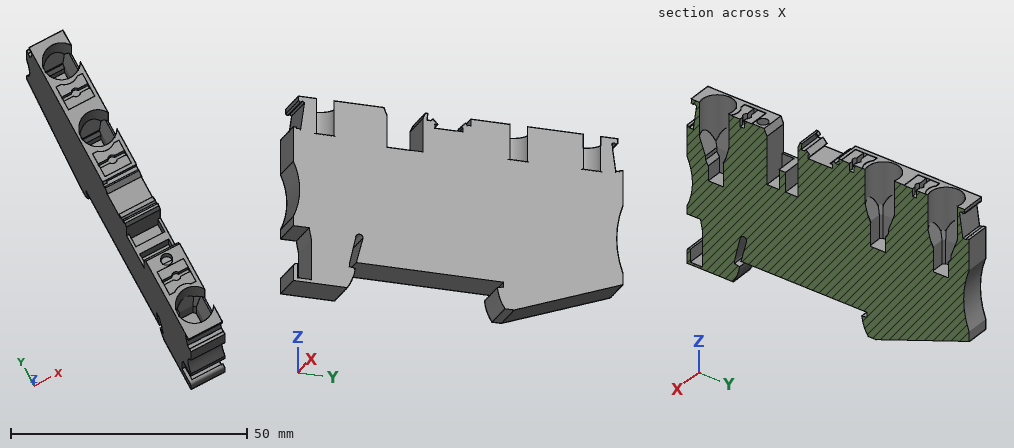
import cadquery as cq
import math


WIDTH = 8.15
LENGTH = 74.12
HEIGHT = 42.2
HALF_WIDTH = WIDTH / 2
HALF_LENGTH = LENGTH / 2

LIP_Y = 35.9
LIP_Z = 41.15
LIP_BEAD_DROP = 0.3
LIP_BEAD_WIDTH = 0.9
NECK_TOP_Y = 34.55
NECK_TOP_Z = 40.85
NECK_FOOT_Y = 35.45
NECK_FOOT_Z = 34.5
SHOULDER_Z = 35.05
SHOULDER_GROOVE_Z = 34.75
SHOULDER_EDGE_WIDTH = 0.7
HOLLOW_TOP_Z = 27.15
HOLLOW_DEPTH = 1.42
REAR_HOLLOW_FOOT_Z = 11.6
FRONT_HOLLOW_FOOT_Z = 14.6

RAIL_SEAT_Z = 6.0
REAR_EDGE_Z = 9.1
REAR_FOOT_Y = 12.6
REAR_FOOT_INNER_Y = 10.5
REAR_SEAT_Y = 10.2
REAR_CLAW_Y = 8.8
CLAW_Z = 4.6
CLAW_UNDERCUT_Z = 4.9
CLAW_BULGE_Z = 2.2
REAR_CLAW_BULGE_Y = 9.35
FRONT_CLAW_Y = -23.15
FRONT_CLAW_BULGE_Y = -23.75
FRONT_FOOT_INNER_Y = -24.9
SPRING_SLOT_FOOT_Y = -22.9
SPRING_SLOT_SIDE_Y = -21.4
SPRING_SLOT_TOP_Z = 12.55
SPRING_SLOT_ROUND_Z = 11.8
SPRING_SLOT_WIDTH = 1.6
SPRING_SLOT_BACK_Y = -24.5
SPRING_SLOT_BACK_Z = 5.4
GRIP_Y = -33.0
GRIP_TOP_Y = -33.5
GRIP_TOP_Z = 12.5
GRIP_TAPER_Z = 9.8
GRIP_FLOOR_Z = 4.0
GRIP_EDGE_RADIUS = 0.8
GRIP_WALL = 0.75
GRIP_LIP = 1.0

BRIDGE_FRONT_Y = -15.98
BRIDGE_REAR_Y = -7.94
BRIDGE_FLOOR_Z = 33.25
BRIDGE_CHAMFER_Y = 0.72
BRIDGE_CHAMFER_Z = 1.75
HOOK_FLANK_Z = 40.85
HOOK_TOP_FRONT_Y = -7.35
HOOK_TOP_REAR_Y = -6.8
NOTCH_Z = 40.65
REAR_NOTCH_Y = 2.83
REAR_RIDGE_FOOT_Y = 2.0
REAR_RIDGE_Y = 1.6
FRONT_NOTCH_Y = -7.0
FRONT_RIDGE_FOOT_Y = -6.15
FRONT_RIDGE_Y = -5.7
RIDGE_Z = 41.1
CHANNEL_LEDGE_Z = 39.95
CHANNEL_FLOOR_Z = 39.05
CHANNEL_REAR_Y = 1.1
CHANNEL_REAR_TIP_Y = 0.45
CHANNEL_FRONT_Y = -5.25
CHANNEL_FRONT_TIP_Y = -4.55

TIP_WIDTH = 0.9
TIP_POINT_Z = 41.6
TIP_ROOT_Z = 41.35
REAR_TIP_Y = 2.3
FRONT_TIP_Y = -6.3

FUNNELS = [(30.05, 1), (13.6, 1), (-29.9, -1)]
FUNNEL_X = 0.55
FUNNEL_RADIUS = 4.02
BORE_DEPTH = 8.0
TAPER_DEPTH = 5.0
WIRE_DEPTH = 6.0
TAPER_WALL_X = 3.7
WIRE_HALF_WIDTH = 2.12
WIRE_OUTER = 2.2
WIRE_INNER = 2.65
WIRE_CORNER = 0.55
MOUTH_CORNER = 1.1
WIRE_STEP = 0.75
WIRE_STEP_TOP = 1.0
WIRE_STEP_FOOT = 2.2

WINDOW_X = 0.1
WINDOW_WIDTH = 6.3
WINDOW_NEAR = 4.4
WINDOW_FAR = 10.0
WINDOW_DEPTH = 0.1
LAND_HALF_WIDTH = 1.95
LAND_RISE = 0.7
BLADE_OFFSET = 7.38
BLADE_WIDTH = 1.0
BLADE_DEPTH = 2.0
BLADE_ROUND_DIAMETER = 1.9

TEST_Y = -18.4
TEST_DIAMETER = 2.55
TEST_DEPTH = 3.0
TEST_RAMP_RISE = 0.7
POCKET_WIDTH = 6.92
POCKET_LENGTH = 3.14
POCKET_DEPTH = 5.0


def end_points(side):
    """Lip, neck and shoulder of one end, from the top down; side is +1 or -1 in Y."""
    points = [
        (LIP_Y, HEIGHT),
        (LIP_Y, LIP_Z),
        (LIP_Y - LIP_BEAD_WIDTH / 2, LIP_Z - LIP_BEAD_DROP),
        (LIP_Y - LIP_BEAD_WIDTH, LIP_Z),
        (NECK_TOP_Y, NECK_TOP_Z),
        (NECK_FOOT_Y, NECK_FOOT_Z),
        (NECK_FOOT_Y, SHOULDER_GROOVE_Z),
        (HALF_LENGTH - SHOULDER_EDGE_WIDTH, SHOULDER_GROOVE_Z),
        (HALF_LENGTH - SHOULDER_EDGE_WIDTH, SHOULDER_Z),
        (HALF_LENGTH, SHOULDER_Z),
        (HALF_LENGTH, HOLLOW_TOP_Z),
    ]
    return [(side * y, z) for y, z in points]


def top_points():
    """Bridge slot and marker channel, from the -Y end to the +Y end."""
    return [
        (BRIDGE_FRONT_Y - BRIDGE_CHAMFER_Y, HEIGHT),
        (BRIDGE_FRONT_Y, HEIGHT - BRIDGE_CHAMFER_Z),
        (BRIDGE_FRONT_Y, BRIDGE_FLOOR_Z),
        (BRIDGE_REAR_Y, BRIDGE_FLOOR_Z),
        (BRIDGE_REAR_Y, HOOK_FLANK_Z),
        (HOOK_TOP_FRONT_Y, HEIGHT),
        (HOOK_TOP_REAR_Y, HEIGHT),
        (FRONT_NOTCH_Y, NOTCH_Z),
        (FRONT_RIDGE_FOOT_Y, NOTCH_Z),
        (FRONT_RIDGE_Y, RIDGE_Z),
        (CHANNEL_FRONT_TIP_Y, CHANNEL_LEDGE_Z),
        (CHANNEL_FRONT_Y, CHANNEL_LEDGE_Z),
        (CHANNEL_FRONT_Y, CHANNEL_FLOOR_Z),
        (CHANNEL_REAR_Y, CHANNEL_FLOOR_Z),
        (CHANNEL_REAR_Y, CHANNEL_LEDGE_Z),
        (CHANNEL_REAR_TIP_Y, CHANNEL_LEDGE_Z),
        (REAR_RIDGE_Y, RIDGE_Z),
        (REAR_RIDGE_FOOT_Y, NOTCH_Z),
        (REAR_NOTCH_Y, NOTCH_Z),
        (REAR_NOTCH_Y, HEIGHT),
    ]


def make_body():
    outline = cq.Workplane("YZ", origin=(-HALF_WIDTH, 0, 0)).polyline(end_points(1))

    hollow_mid_z = (HOLLOW_TOP_Z + REAR_HOLLOW_FOOT_Z) / 2
    outline = (
        outline
        .threePointArc((HALF_LENGTH - HOLLOW_DEPTH, hollow_mid_z), (HALF_LENGTH, REAR_HOLLOW_FOOT_Z))
        .lineTo(HALF_LENGTH, REAR_EDGE_Z)
        .lineTo(REAR_FOOT_Y, 0)
        .lineTo(REAR_FOOT_INNER_Y, 0)
        .threePointArc((REAR_CLAW_BULGE_Y, CLAW_BULGE_Z), (REAR_CLAW_Y, CLAW_Z))
        .lineTo(REAR_SEAT_Y, CLAW_UNDERCUT_Z)
        .lineTo(REAR_SEAT_Y, RAIL_SEAT_Z)
        .lineTo(SPRING_SLOT_FOOT_Y, RAIL_SEAT_Z)
    )

    slot_mid_y = SPRING_SLOT_SIDE_Y - SPRING_SLOT_WIDTH / 2
    outline = (
        outline
        .lineTo(SPRING_SLOT_SIDE_Y, SPRING_SLOT_ROUND_Z)
        .threePointArc(
            (slot_mid_y, SPRING_SLOT_TOP_Z),
            (SPRING_SLOT_SIDE_Y - SPRING_SLOT_WIDTH, SPRING_SLOT_ROUND_Z),
        )
        .lineTo(SPRING_SLOT_BACK_Y, SPRING_SLOT_BACK_Z)
        .lineTo(SPRING_SLOT_BACK_Y, CLAW_UNDERCUT_Z)
        .lineTo(FRONT_CLAW_Y, CLAW_Z)
        .threePointArc((FRONT_CLAW_BULGE_Y, CLAW_BULGE_Z), (FRONT_FOOT_INNER_Y, 0))
    )

    round_mid = GRIP_EDGE_RADIUS * (1 - math.sqrt(0.5))
    hollow_mid_z = (HOLLOW_TOP_Z + FRONT_HOLLOW_FOOT_Z) / 2
    outline = (
        outline
        .lineTo(-HALF_LENGTH, 0)
        .lineTo(-HALF_LENGTH, GRIP_FLOOR_Z - GRIP_EDGE_RADIUS)
        .threePointArc(
            (-HALF_LENGTH + round_mid, GRIP_FLOOR_Z - round_mid),
            (-HALF_LENGTH + GRIP_EDGE_RADIUS, GRIP_FLOOR_Z),
        )
        .lineTo(GRIP_Y, GRIP_FLOOR_Z)
        .lineTo(GRIP_Y, GRIP_TAPER_Z)
        .lineTo(GRIP_TOP_Y, GRIP_TOP_Z)
        .lineTo(-HALF_LENGTH, GRIP_TOP_Z)
        .lineTo(-HALF_LENGTH, FRONT_HOLLOW_FOOT_Z)
        .threePointArc((-HALF_LENGTH + HOLLOW_DEPTH, hollow_mid_z), (-HALF_LENGTH, HOLLOW_TOP_Z))
    )

    for y, z in end_points(-1)[-2::-1] + top_points():
        outline = outline.lineTo(y, z)
    return outline.close().extrude(WIDTH)


def make_hook_tips():
    """Small latching tips that overhang the two notches beside the -X face."""
    plane = cq.Workplane("YZ", origin=(-HALF_WIDTH, 0, 0))
    rear_tip = plane.polyline([
        (REAR_NOTCH_Y, HEIGHT),
        (REAR_TIP_Y, TIP_POINT_Z),
        (REAR_NOTCH_Y, TIP_ROOT_Z),
    ]).close().extrude(TIP_WIDTH)
    front_tip = plane.polyline([
        (HOOK_TOP_REAR_Y, HEIGHT),
        (FRONT_TIP_Y, TIP_POINT_Z),
        (FRONT_NOTCH_Y, TIP_ROOT_Z),
        (FRONT_NOTCH_Y, HEIGHT),
    ]).close().extrude(TIP_WIDTH)
    return rear_tip, front_tip


def rectangle_with_inner_chamfers(plane, x_min, x_max, outer_y, inner_y, chamfer, direction):
    """Closed outline whose two corners towards the middle of the part are chamfered."""
    inner_chamfer_y = inner_y + direction * chamfer
    return plane.polyline([
        (x_min, outer_y),
        (x_max, outer_y),
        (x_max, inner_chamfer_y),
        (x_max - chamfer, inner_y),
        (x_min + chamfer, inner_y),
        (x_min, inner_chamfer_y),
    ]).close()


def make_funnel(center_y, direction):
    """Round bore, tapered throat and square wire hole."""
    bore_floor_z = HEIGHT - BORE_DEPTH
    throat_z = bore_floor_z - TAPER_DEPTH
    funnel_axis = cq.Workplane("XY", origin=(FUNNEL_X, center_y, HEIGHT))
    bore = funnel_axis.circle(FUNNEL_RADIUS).extrude(-BORE_DEPTH)
    taper_limit = funnel_axis.circle(FUNNEL_RADIUS).extrude(-BORE_DEPTH - TAPER_DEPTH)

    wire_outer_y = center_y + direction * WIRE_OUTER
    wire_inner_y = center_y - direction * WIRE_INNER
    mouth = rectangle_with_inner_chamfers(
        cq.Workplane("XY", origin=(0, 0, bore_floor_z)),
        FUNNEL_X - FUNNEL_RADIUS, TAPER_WALL_X,
        center_y + direction * FUNNEL_RADIUS, center_y - direction * FUNNEL_RADIUS,
        MOUTH_CORNER, direction,
    )
    taper = rectangle_with_inner_chamfers(
        mouth.workplane(offset=-TAPER_DEPTH),
        -WIRE_HALF_WIDTH, WIRE_HALF_WIDTH, wire_outer_y, wire_inner_y, WIRE_CORNER, direction,
    ).loft(ruled=True)

    wire_hole = rectangle_with_inner_chamfers(
        cq.Workplane("XY", origin=(0, 0, throat_z)),
        -WIRE_HALF_WIDTH, WIRE_HALF_WIDTH, wire_outer_y, wire_inner_y, WIRE_CORNER, direction,
    ).extrude(-WIRE_DEPTH)
    ledge = (
        cq.Workplane("YZ", origin=(-WIRE_HALF_WIDTH, 0, 0))
        .moveTo(wire_outer_y, throat_z - WIRE_STEP_TOP)
        .lineTo(wire_outer_y, throat_z - WIRE_DEPTH)
        .lineTo(wire_outer_y - direction * WIRE_STEP, throat_z - WIRE_DEPTH)
        .lineTo(wire_outer_y - direction * WIRE_STEP, throat_z - WIRE_STEP_FOOT)
        .close().extrude(2 * WIRE_HALF_WIDTH)
    )
    return bore.union(taper.intersect(taper_limit)).union(wire_hole.cut(ledge))


def make_release_window(funnel_y, direction):
    """Shallow window with a blade slot that widens to a round in the middle."""
    top = cq.Workplane("XY", origin=(0, 0, HEIGHT))
    window_y = funnel_y - direction * (WINDOW_NEAR + WINDOW_FAR) / 2
    blade_y = funnel_y - direction * BLADE_OFFSET
    window_length = WINDOW_FAR - WINDOW_NEAR
    window = top.center(WINDOW_X, window_y).rect(WINDOW_WIDTH, window_length).extrude(-WINDOW_DEPTH)
    near_y = funnel_y - direction * WINDOW_NEAR
    land = (
        top.moveTo(WINDOW_X - LAND_HALF_WIDTH, near_y)
        .threePointArc((WINDOW_X, near_y - direction * LAND_RISE), (WINDOW_X + LAND_HALF_WIDTH, near_y))
        .close().extrude(-WINDOW_DEPTH)
    )
    blade = top.center(WINDOW_X, blade_y).rect(WINDOW_WIDTH, BLADE_WIDTH).extrude(-BLADE_DEPTH)
    blade_round = top.center(WINDOW_X, blade_y).circle(BLADE_ROUND_DIAMETER / 2).extrude(-BLADE_DEPTH)
    return window.cut(land).union(blade).union(blade_round)


def make_test_hole():
    """Round hole with a flat half floor and a ramped half floor."""
    radius = TEST_DIAMETER / 2
    floor_z = HEIGHT - TEST_DEPTH
    hole = cq.Workplane("XY", origin=(0, TEST_Y, HEIGHT)).circle(radius).extrude(-TEST_DEPTH)
    ramp = (
        cq.Workplane("YZ", origin=(-radius, 0, 0))
        .moveTo(TEST_Y, floor_z)
        .lineTo(TEST_Y - radius, floor_z)
        .lineTo(TEST_Y - radius, floor_z + TEST_RAMP_RISE)
        .close().extrude(TEST_DIAMETER)
    )
    return hole.cut(ramp)


def make_bridge_pockets():
    """Two rectangular pockets in the bridge slot floor, one against each slot wall."""
    centers = [
        (0, BRIDGE_REAR_Y - POCKET_LENGTH / 2),
        (0, BRIDGE_FRONT_Y + POCKET_LENGTH / 2),
    ]
    return (
        cq.Workplane("XY", origin=(0, 0, BRIDGE_FLOOR_Z))
        .pushPoints(centers).rect(POCKET_WIDTH, POCKET_LENGTH).extrude(-POCKET_DEPTH)
    )


def make_grip_pocket():
    """Pocket behind the lever lip, open towards +X."""
    pocket_end_y = -HALF_LENGTH + GRIP_LIP
    return cq.Workplane("XY", origin=(-HALF_WIDTH + GRIP_WALL, pocket_end_y, GRIP_WALL)).box(
        WIDTH - GRIP_WALL, GRIP_Y - pocket_end_y, GRIP_FLOOR_Z - GRIP_WALL, centered=False
    )


result = make_body()
for tip in make_hook_tips():
    result = result.union(tip)
for funnel_y, direction in FUNNELS:
    result = result.cut(make_funnel(funnel_y, direction))
    result = result.cut(make_release_window(funnel_y, direction))
result = result.cut(make_test_hole())
result = result.cut(make_bridge_pockets())
result = result.cut(make_grip_pocket())